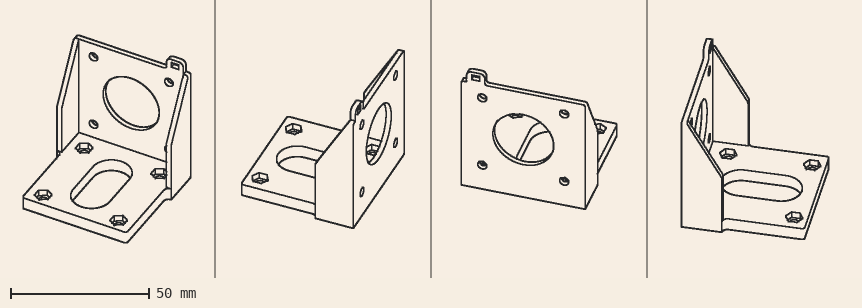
import cadquery as cq
import math

width = 47.0
depth = 45.0
height = 53.0
wall = 2.0
base_thickness = 5.0
plate_height = 48.0

wall_depth = 15.0
knee_height = 25.0
knee_radius = 2.0

corner_radius = 1.0
base_root_radius = 1.95

tab_width = 7.0
tab_radius = 2.0
tab_slot_width = 3.0
tab_slot_height = 2.0

motor_bore = 23.0
motor_center_z = 26.5
hole_pitch = 31.0
hole_diameter = 3.4
base_slot_length = 30.0
base_slot_width = 15.0
base_center_y = -24.5
nut_flats = 5.45
nut_depth = 2.5

inner_width = width - 2 * wall
tab_right = inner_width / 2
tab_left = tab_right - tab_width
tab_center_x = (tab_left + tab_right) / 2
tab_slot_z = (plate_height + height) / 2


def make_upright():
    """Upright plate with its tab, rounded in the XZ plane."""
    plate = (
        cq.Workplane("XY")
        .box(width, wall, plate_height, centered=(True, False, False))
        .translate((0, -wall, 0))
        .edges("|Y and >Z")
        .fillet(corner_radius)
    )
    tab = (
        cq.Workplane("XY")
        .box(tab_width, wall, height - base_thickness, centered=(True, False, False))
        .translate((tab_center_x, -wall, base_thickness))
        .edges("|Y and >Z")
        .fillet(tab_radius)
    )
    tab_root = cq.selectors.NearestToPointSelector((tab_left, -wall / 2, plate_height))
    return plate.union(tab).edges(tab_root).fillet(corner_radius)


def make_side_wall(x_start):
    """Side wall whose front edge slopes back to the top of the upright plate."""
    profile = [
        (0, 0),
        (-wall_depth, 0),
        (-wall_depth, knee_height),
        (-wall, plate_height),
        (0, plate_height),
    ]
    knee = cq.selectors.NearestToPointSelector((x_start + wall / 2, -wall_depth, knee_height))
    return (
        cq.Workplane("YZ", origin=(x_start, 0, 0))
        .polyline(profile)
        .close()
        .extrude(wall)
        .edges(knee)
        .fillet(knee_radius)
    )


def make_base():
    """Base plate, with concave fillets where it leaves the front of the side walls."""
    front = (
        cq.Workplane("XY")
        .box(inner_width, depth, base_thickness, centered=(True, False, False))
        .translate((0, -depth, 0))
        .edges("|Z and <Y")
        .fillet(corner_radius)
    )
    rear = (
        cq.Workplane("XY")
        .box(width, wall_depth, base_thickness, centered=(True, False, False))
        .translate((0, -wall_depth, 0))
    )
    base = front.union(rear)
    for x in (-inner_width / 2, inner_width / 2):
        root = cq.selectors.NearestToPointSelector((x, -wall_depth, base_thickness / 2))
        base = base.edges(root).fillet(base_root_radius)
    return base


def round_wall_tops():
    """Tool that leaves the outer top edges of the side walls rounded."""
    envelope = (
        cq.Workplane("XY")
        .box(width, depth, plate_height, centered=(True, False, False))
        .translate((0, -depth, 0))
    )
    rounded = envelope.edges("|Y and >Z").fillet(corner_radius)
    return envelope.cut(rounded)


def upright_cutouts():
    """Motor bore, four screw holes and the tab slot, all through the upright plate."""
    plane = cq.Workplane("XZ", origin=(0, 0, motor_center_z))
    bore = plane.circle(motor_bore / 2).extrude(wall)
    holes = (
        plane.rect(hole_pitch, hole_pitch, forConstruction=True)
        .vertices()
        .circle(hole_diameter / 2)
        .extrude(wall)
    )
    tab_slot = (
        cq.Workplane("XZ", origin=(tab_center_x, 0, tab_slot_z))
        .rect(tab_slot_width, tab_slot_height)
        .extrude(wall)
    )
    return bore.union(holes).union(tab_slot)


def base_cutouts():
    """Long slot and four screw holes with hexagonal nut pockets sunk from the top."""
    plane = cq.Workplane("XY", origin=(0, base_center_y, 0))
    slot = plane.slot2D(base_slot_length, base_slot_width, 90).extrude(base_thickness)
    holes = (
        plane.rect(hole_pitch, hole_pitch, forConstruction=True)
        .vertices()
        .circle(hole_diameter / 2)
        .extrude(base_thickness)
    )
    cutouts = slot.union(holes)
    nut_corners = nut_flats / math.cos(math.pi / 6)
    for x in (-hole_pitch / 2, hole_pitch / 2):
        for y in (-hole_pitch / 2, hole_pitch / 2):
            pocket = (
                cq.Workplane("XY")
                .polygon(6, nut_corners)
                .extrude(nut_depth)
                .rotate((0, 0, 0), (0, 0, 1), 30)
                .translate((x, base_center_y + y, base_thickness - nut_depth))
            )
            cutouts = cutouts.union(pocket)
    return cutouts


side_walls = make_side_wall(-width / 2).union(make_side_wall(inner_width / 2))
side_walls = side_walls.cut(round_wall_tops())

result = make_upright().union(side_walls).union(make_base())
result = result.cut(upright_cutouts()).cut(base_cutouts())